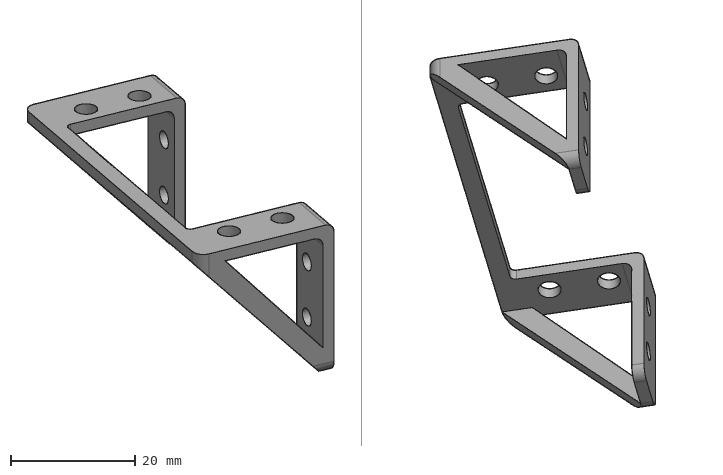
import cadquery as cq

length = 59.5
depth = 24.8
height = 27.0

wall = 2.0
leg_width = 9.0
front_bar = 3.0
corner_radius = 2.0
bend_radius = 1.55
notch_radius = 0.9
brace_gap_y = 5.0
window_height = 20.05

top_hole_diameter = 3.7
rear_hole_diameter = 3.0
hole_inset = 5.5
top_hole_offset = 6.5
top_hole_spacing = 9.75
rear_hole_offset = 9.05
rear_hole_spacing = 10.0

front_y = -depth / 2
rear_y = depth / 2
hole_xs = [side * (length / 2 - hole_inset) for side in (-1, 1)]


def side_prism(points, width):
    """Extrude a (Y, Z) outline along X, centred on X = 0."""
    return cq.Workplane("YZ").polyline(points).close().extrude(width / 2, both=True)


def bracket_envelope():
    """Solid wedge with rounded front, bottom and rear-top corners."""
    wedge = side_prism(
        [(front_y, 0), (rear_y, 0), (rear_y, -height), (rear_y - wall, -height), (front_y, -wall)],
        length,
    )
    wedge = wedge.edges("|X and >Y and >Z").fillet(bend_radius)
    plan = (
        cq.Workplane("XY")
        .box(length, depth, height, centered=(True, True, False))
        .translate((0, 0, -height))
        .edges("|Z and <Y")
        .fillet(corner_radius)
    )
    return wedge.intersect(plan)


def leg_elevation():
    """Two upright legs with rounded lower corners, joined by the top plate."""
    leg = (
        cq.Workplane("XY")
        .box(leg_width, depth, height, centered=(True, True, False))
        .edges("|Y and <Z")
        .fillet(corner_radius)
    )
    shape = cq.Workplane("XY").box(length, depth, wall, centered=(True, True, False)).translate((0, 0, -wall))
    for side in (-1, 1):
        shape = shape.union(leg.translate((side * (length - leg_width) / 2, 0, -height)))
    return shape


def center_notch():
    """Opening between the legs, behind the front bar."""
    notch_depth = depth - front_bar
    return (
        cq.Workplane("XY")
        .box(length - 2 * leg_width, notch_depth, height, centered=(True, False, False))
        .translate((0, front_y + front_bar, -height))
        .edges("|Z and <Y")
        .fillet(notch_radius)
    )


def gusset_window():
    """Triangular opening through both side gussets."""
    window = side_prism(
        [
            (rear_y - wall, -wall),
            (front_y + brace_gap_y, -wall),
            (rear_y - wall, -wall - window_height),
        ],
        length,
    )
    return window.edges("|X and >Y and >Z").fillet(bend_radius)


def inner_clearance():
    """Space between the gussets, below the top plate and ahead of the rear plates."""
    clearance_depth = depth - wall
    return (
        cq.Workplane("XY")
        .box(length - 2 * wall, clearance_depth, height - wall, centered=(True, False, False))
        .translate((0, front_y, -height))
        .edges("|X and >Y and >Z")
        .fillet(bend_radius)
    )


def mounting_holes():
    """Two vertical holes and two rear-plate holes in each leg."""
    top_points = [(x, rear_y - top_hole_offset - i * top_hole_spacing) for x in hole_xs for i in range(2)]
    rear_points = [(x, -rear_hole_offset - i * rear_hole_spacing) for x in hole_xs for i in range(2)]
    top_holes = cq.Workplane("XY").pushPoints(top_points).circle(top_hole_diameter / 2).extrude(-wall)
    rear_holes = (
        cq.Workplane("XZ", origin=(0, rear_y, 0))
        .pushPoints(rear_points)
        .circle(rear_hole_diameter / 2)
        .extrude(wall)
    )
    return top_holes.union(rear_holes)


result = (
    bracket_envelope()
    .intersect(leg_elevation())
    .cut(center_notch())
    .cut(gusset_window())
    .cut(inner_clearance())
    .cut(mounting_holes())
)